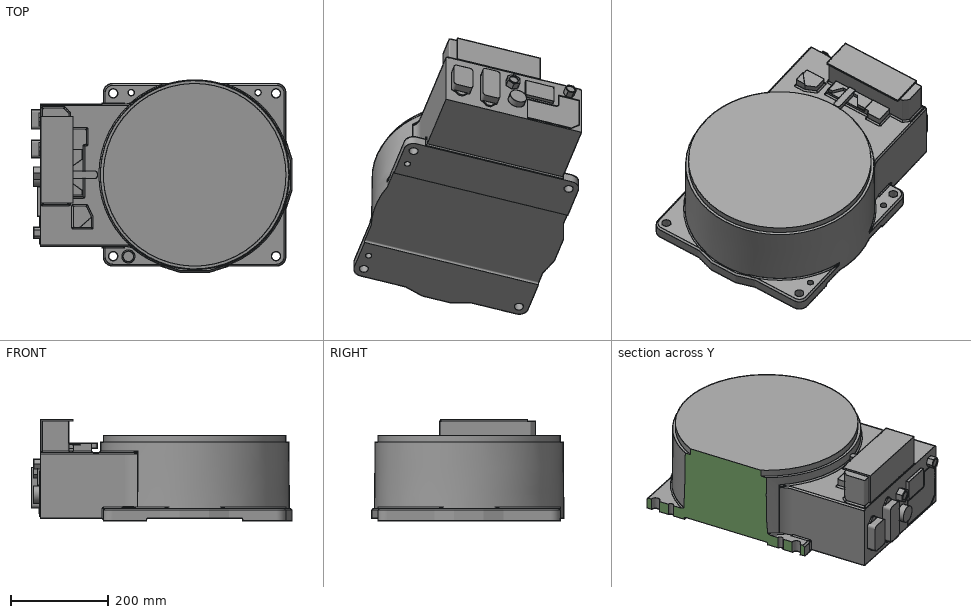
import cadquery as cq
import math

OVERALL_LENGTH = 535.5

PLATE_HALF = 187.5
PLATE_TOP = 25.5
PLATE_CORNER_RADIUS = 19.5
PLATE_EDGE_CHAMFER = 4.0
BULGE_REACH = 200.5
BULGE_FLAT_HALF = 30.5
BULGE_ROOT_HALF = 70.5
CHANNEL_HALF = 98.5
CHANNEL_DEPTH = 5.5
CHANNEL_FILLET = 2.5
BOLT_OFFSET = 167.0
BOLT_DIAMETER = 18.0
DOWEL_X = 130.0
DOWEL_Y = 169.0
DOWEL_DIAMETER = 12.5
FOOT_PAD_X = -136.0
FOOT_PAD_Y = -167.5
FOOT_PAD_RADIUS = 13.5
FOOT_PAD_TOP = 30.0
FOOT_PAD_CHAMFER = 2.5

DRUM_BASE_RADIUS = 195.0
DRUM_TOP_RADIUS = 193.5
DRUM_TOP = 162.0
LID_RADIUS = 187.5
LID_TOP = 175.5

BOX_LEFT = -316.5
BOX_BACK = 145.0
BOX_FRONT = -147.5
BOX_TOP = 140.5
BOX_BOTTOM = CHANNEL_DEPTH
BOX_EDGE_CHAMFER = 3.0
BOX_BLEND_RADIUS = 43.0

BASE_SKIRT = 2.5
TOP_SKIRT = 3.0
WALL_CORNER_RADIUS = 2.5

COVER_RIGHT = -258.0
COVER_BACK = 136.5
COVER_FRONT = -60.5
COVER_TOP = 204.5
COVER_CORNER_CUT = 10.0
SHEET_THICKNESS = 4.0
SHEET_LEFT = -316.0
SHEET_RIGHT = -249.5
SHEET_FRONT = -58.5
SHEET_BACK = 120.0
SHEET_GAP = 2.0
COVER_LEFT = SHEET_LEFT + SHEET_THICKNESS

LATCH_BACK = 94.0
LATCH_SHOULDER = 62.0
HEAD_FRONT = 51.5
LATCH_FRONT = -45.0
HEAD_RIGHT = -222.5
DECK_RIGHT = -229.0
HEAD_TOP = 157.5
DECK_TOP = 149.0
HORN_FRONT = -41.0
HORN_RIGHT = -231.0
HORN_TOP = 156.5
SLOT_INNER_HALF = 17.5
SLOT_OUTER_HALF = 32.0
SLOT_INNER_X = -250.5
FINGER_WIDTH = 15.0
FINGER_CORNER = 5.0
FINGER_TIP = -200.0
FINGER_TOP = 159.5

BLOCK_LEFT = -249.0
BLOCK_RIGHT = -211.5
BLOCK_BACK = -64.5
BLOCK_FRONT = -108.0
BLOCK_TOP = 155.5
BLOCK_CUT_X = 10.5
BLOCK_CUT_Y = 22.5
WEDGE_LEFT = -235.5
WEDGE_TOP = 159.5

SOCKET_REACH = OVERALL_LENGTH - BULGE_REACH + BOX_LEFT
SOCKET_CORNER = 6.5
FLANGE_THICKNESS = 3.0
FLANGE_TIP_FLAT = 8.5
SOCKETS = (
    (113.5, 68.0, 40.0, 60.5, 80.0),
    (53.0, 68.0, 36.5, 84.0, 105.0),
)
FITTING_REACH = 14.5
NUT_RECESS_DEPTH = 1.5
NUTS = (
    (3.0, 103.0, 29.5, 90, 19.0),
    (-119.5, 117.0, 23.5, 0, 18.0),
)
BUTTON_Y = -6.5
BUTTON_Z = 53.5
BUTTON_DIAMETER = 35.5
DISPLAY_REACH = 6.5
DISPLAY_Y = -55.0
DISPLAY_Z = 96.5
DISPLAY_WIDTH = 60.5
DISPLAY_HEIGHT = 44.5
LABEL_THICKNESS = 1.5
LABEL_OUTLINE = (
    (-30.0, 9.0), (-30.0, 67.5), (-93.0, 67.5), (-97.5, 72.0),
    (-97.5, 103.0), (-142.0, 103.0), (-142.0, 25.5), (-125.0, 9.0),
)


def rectangle(left, right, front, back):
    return [(left, front), (right, front), (right, back), (left, back)]


def prism(outline, bottom, top):
    """Upright prism on a closed XY outline."""
    return cq.Workplane("XY", origin=(0, 0, bottom)).polyline(outline).close().extrude(top - bottom)


def skirted_prism(outline, bottom, top, skirt):
    """Upright prism with rounded corners and a 45 degree skirt around its foot."""
    foot = (
        cq.Workplane("XY", origin=(0, 0, bottom))
        .polyline(outline).close()
        .offset2D(skirt, "arc")
        .extrude(skirt, taper=45)
    )
    walls = prism(outline, bottom, top).edges("|Z").fillet(WALL_CORNER_RADIUS)
    return walls.union(foot)


def cone(bottom_radius, top_radius, bottom, top):
    """Cone frustum about the drum axis."""
    return cq.Workplane("XZ").polyline(
        [(0, bottom), (bottom_radius, bottom), (top_radius, top), (0, top)]
    ).close().revolve(360, (0, 0, 0), (0, 1, 0))


def face_plane(y, z):
    """Plane on the left face of the box: local x is +Y, local y is +Z, extrusion is inward (+X)."""
    return cq.Workplane(cq.Plane(origin=(BOX_LEFT, y, z), xDir=(0, 1, 0), normal=(1, 0, 0)))


def bulge_outline():
    """Faceted bulge on the -Y edge of the plate."""
    return [
        (-BULGE_ROOT_HALF, -PLATE_HALF), (-BULGE_FLAT_HALF, -BULGE_REACH),
        (BULGE_FLAT_HALF, -BULGE_REACH), (BULGE_ROOT_HALF, -PLATE_HALF), (0, 0),
    ]


def base_plate():
    plate = (
        cq.Workplane("XY").rect(2 * PLATE_HALF, 2 * PLATE_HALF).extrude(PLATE_TOP)
        .edges("|Z").fillet(PLATE_CORNER_RADIUS)
    )
    bulge = prism(bulge_outline(), 0, PLATE_TOP)
    for turn in (0, 90):
        plate = plate.union(bulge.rotate((0, 0, 0), (0, 0, 1), turn))
    return plate.faces(">Z").edges().chamfer(PLATE_EDGE_CHAMFER)


def drum():
    body = cone(DRUM_BASE_RADIUS, DRUM_TOP_RADIUS, CHANNEL_DEPTH, DRUM_TOP)
    lid = cone(LID_RADIUS, LID_RADIUS, DRUM_TOP, LID_TOP)
    skirt = cone(DRUM_BASE_RADIUS + BASE_SKIRT, DRUM_BASE_RADIUS, PLATE_TOP, PLATE_TOP + BASE_SKIRT)
    plate_area = cq.Workplane("XY").rect(2 * PLATE_HALF, 2 * PLATE_HALF).extrude(DRUM_TOP)
    return body.union(lid).union(skirt.intersect(plate_area))


def box_outline():
    """Box outline with a concave arc on each side where it blends into the drum."""
    reach = DRUM_BASE_RADIUS + BOX_BLEND_RADIUS

    def blend(wall):
        """Points where the blend leaves the wall, at mid-arc, and where it meets the drum."""
        side = math.copysign(1, wall)
        centre_y = wall + side * BOX_BLEND_RADIUS
        centre_x = -math.sqrt(reach ** 2 - centre_y ** 2)
        drum_share = DRUM_BASE_RADIUS / reach
        drum_point = (centre_x * drum_share, centre_y * drum_share)
        start_angle = -side * math.pi / 2
        end_angle = math.atan2(-centre_y, -centre_x)
        mid_angle = (start_angle + end_angle) / 2
        mid_point = (
            centre_x + BOX_BLEND_RADIUS * math.cos(mid_angle),
            centre_y + BOX_BLEND_RADIUS * math.sin(mid_angle),
        )
        return (centre_x, wall), mid_point, drum_point

    front_wall, front_mid, front_drum = blend(BOX_FRONT)
    back_wall, back_mid, back_drum = blend(BOX_BACK)
    return (
        cq.Workplane("XY", origin=(0, 0, BOX_BOTTOM))
        .moveTo(BOX_LEFT, BOX_FRONT)
        .lineTo(*front_wall)
        .threePointArc(front_mid, front_drum)
        .lineTo(0, 0)
        .lineTo(*back_drum)
        .threePointArc(back_mid, back_wall)
        .lineTo(BOX_LEFT, BOX_BACK)
        .close()
    )


def box():
    body = box_outline().extrude(BOX_TOP - BOX_BOTTOM)
    body = body.faces(">Z").edges("|X or %CIRCLE").chamfer(BOX_EDGE_CHAMFER)
    skirt = cone(DRUM_TOP_RADIUS + TOP_SKIRT, DRUM_TOP_RADIUS, BOX_TOP, BOX_TOP + TOP_SKIRT)
    box_area = box_outline().extrude(DRUM_TOP)
    return body.union(skirt.intersect(box_area))


def box_collar():
    """45 degree skirts where the box runs into the edge and onto the top of the plate."""
    width = BOX_BACK - BOX_FRONT
    centre_y = (BOX_BACK + BOX_FRONT) / 2
    side_bottom = BOX_BOTTOM - BASE_SKIRT
    side_top = PLATE_TOP + BASE_SKIRT
    side = (
        cq.Workplane("YZ", origin=(-PLATE_HALF, centre_y, (side_bottom + side_top) / 2))
        .rect(width + 2 * BASE_SKIRT, side_top - side_bottom)
        .extrude(-BASE_SKIRT, taper=45)
    )
    top = (
        cq.Workplane("XY", origin=(-BOLT_OFFSET, centre_y, PLATE_TOP))
        .rect(2 * (PLATE_HALF - BOLT_OFFSET) + 2 * BASE_SKIRT, width + 2 * BASE_SKIRT)
        .extrude(BASE_SKIRT, taper=45)
    )
    return side.union(top)


def cover():
    outline = [
        (COVER_LEFT, COVER_FRONT), (COVER_RIGHT, COVER_FRONT),
        (COVER_RIGHT, COVER_BACK - COVER_CORNER_CUT), (COVER_RIGHT - COVER_CORNER_CUT, COVER_BACK),
        (COVER_LEFT, COVER_BACK),
    ]
    sheet_bottom = BOX_TOP + SHEET_GAP
    sheet_top = COVER_TOP + SHEET_THICKNESS
    sheet = (
        cq.Workplane("XZ", origin=(0, SHEET_BACK, 0))
        .moveTo(SHEET_LEFT, sheet_bottom)
        .lineTo(SHEET_LEFT, sheet_top)
        .lineTo(SHEET_RIGHT, sheet_top)
        .lineTo(SHEET_RIGHT, COVER_TOP)
        .lineTo(COVER_LEFT, COVER_TOP)
        .lineTo(COVER_LEFT, sheet_bottom)
        .close()
        .extrude(SHEET_BACK - SHEET_FRONT)
    )
    return skirted_prism(outline, BOX_TOP, COVER_TOP, TOP_SKIRT).union(sheet)


def latch():
    inside_cover = (COVER_LEFT + COVER_RIGHT) / 2
    deck_outline = [
        (inside_cover, LATCH_FRONT), (DECK_RIGHT, LATCH_FRONT), (DECK_RIGHT, LATCH_SHOULDER),
        (HEAD_RIGHT, LATCH_SHOULDER), (HEAD_RIGHT, LATCH_BACK), (inside_cover, LATCH_BACK),
    ]
    deck = skirted_prism(deck_outline, BOX_TOP, HEAD_TOP, TOP_SKIRT)
    above_deck = rectangle(inside_cover, HEAD_RIGHT, LATCH_FRONT, HEAD_FRONT)
    deck = deck.cut(prism(above_deck, DECK_TOP, HEAD_TOP))

    horns = prism(rectangle(inside_cover, HORN_RIGHT, HORN_FRONT, HEAD_FRONT), DECK_TOP, HORN_TOP)
    slot_outline = [
        (SLOT_INNER_X, -SLOT_INNER_HALF), (HORN_RIGHT, -SLOT_OUTER_HALF),
        (HORN_RIGHT, SLOT_OUTER_HALF), (SLOT_INNER_X, SLOT_INNER_HALF),
    ]
    horns = horns.cut(prism(slot_outline, DECK_TOP, HORN_TOP))

    finger_outline = rectangle(inside_cover, FINGER_TIP, -FINGER_WIDTH / 2, FINGER_WIDTH / 2)
    finger = prism(finger_outline, DECK_TOP, FINGER_TOP).edges("|Z and >X").fillet(FINGER_CORNER)
    return deck.union(horns).union(finger)


def corner_block():
    cut_start = (BLOCK_RIGHT, BLOCK_BACK - BLOCK_CUT_Y)
    outline = [
        (BLOCK_LEFT, BLOCK_FRONT), (BLOCK_RIGHT, BLOCK_FRONT), cut_start,
        (BLOCK_RIGHT - BLOCK_CUT_X, BLOCK_BACK), (BLOCK_LEFT, BLOCK_BACK),
    ]
    wedge = prism(
        [(WEDGE_LEFT, BLOCK_FRONT), (BLOCK_RIGHT, BLOCK_FRONT), cut_start], BOX_TOP, WEDGE_TOP
    )
    return skirted_prism(outline, BOX_TOP, BLOCK_TOP, TOP_SKIRT).union(wedge)


def socket(y, z, width, body_height, tip_height):
    body = (
        face_plane(y, z).rect(width, body_height).extrude(-SOCKET_REACH)
        .edges("|X").fillet(SOCKET_CORNER)
    )
    half_width = width / 2
    half_tip_flat = FLANGE_TIP_FLAT / 2
    half_tip = tip_height / 2
    half_side = body_height / 2 - SOCKET_CORNER
    flange = (
        face_plane(y, z)
        .polyline([
            (half_width, -half_side), (half_width, half_side),
            (half_tip_flat, half_tip), (-half_tip_flat, half_tip),
            (-half_width, half_side), (-half_width, -half_side),
            (-half_tip_flat, -half_tip), (half_tip_flat, -half_tip),
        ])
        .close()
        .extrude(-FLANGE_THICKNESS)
    )
    return body.union(flange)


def nut(y, z, corner_size, turn, recess_diameter):
    hexagon = (
        face_plane(y, z).transformed(rotate=(0, 0, turn)).polygon(6, corner_size).extrude(-FITTING_REACH)
    )
    recess = (
        face_plane(y, z).workplane(offset=-FITTING_REACH)
        .circle(recess_diameter / 2)
        .extrude(NUT_RECESS_DEPTH)
    )
    return hexagon.cut(recess)


def face_items():
    items = face_plane(BUTTON_Y, BUTTON_Z).circle(BUTTON_DIAMETER / 2).extrude(-FITTING_REACH)
    display = face_plane(DISPLAY_Y, DISPLAY_Z).rect(DISPLAY_WIDTH, DISPLAY_HEIGHT).extrude(-DISPLAY_REACH)
    label = face_plane(0, 0).polyline(LABEL_OUTLINE).close().extrude(-LABEL_THICKNESS)
    items = items.union(display).union(label)
    for sizes in SOCKETS:
        items = items.union(socket(*sizes))
    for sizes in NUTS:
        items = items.union(nut(*sizes))
    return items


def foot_pad():
    return (
        cq.Workplane("XY").center(FOOT_PAD_X, FOOT_PAD_Y).circle(FOOT_PAD_RADIUS).extrude(FOOT_PAD_TOP)
        .faces(">Z").edges().chamfer(FOOT_PAD_CHAMFER)
    )


def channel():
    """Shallow channel along Y under the plate, leaving feet at both sides."""
    return (
        cq.Workplane("XY")
        .rect(2 * CHANNEL_HALF, 2 * OVERALL_LENGTH)
        .extrude(CHANNEL_DEPTH)
        .faces(">Z").edges("|Y").fillet(CHANNEL_FILLET)
    )


def plate_holes():
    bolts = [(x, y) for x in (-BOLT_OFFSET, BOLT_OFFSET) for y in (-BOLT_OFFSET, BOLT_OFFSET)]
    dowels = [(-DOWEL_X, DOWEL_Y), (DOWEL_X, DOWEL_Y)]
    holes = cq.Workplane("XY").pushPoints(bolts).circle(BOLT_DIAMETER / 2).extrude(PLATE_TOP)
    return holes.union(cq.Workplane("XY").pushPoints(dowels).circle(DOWEL_DIAMETER / 2).extrude(PLATE_TOP))


result = base_plate()
features = (
    drum(), box(), box_collar(), cover(), latch(), corner_block(), face_items(), foot_pad(),
)
for feature in features:
    result = result.union(feature)
result = result.cut(channel()).cut(plate_holes())